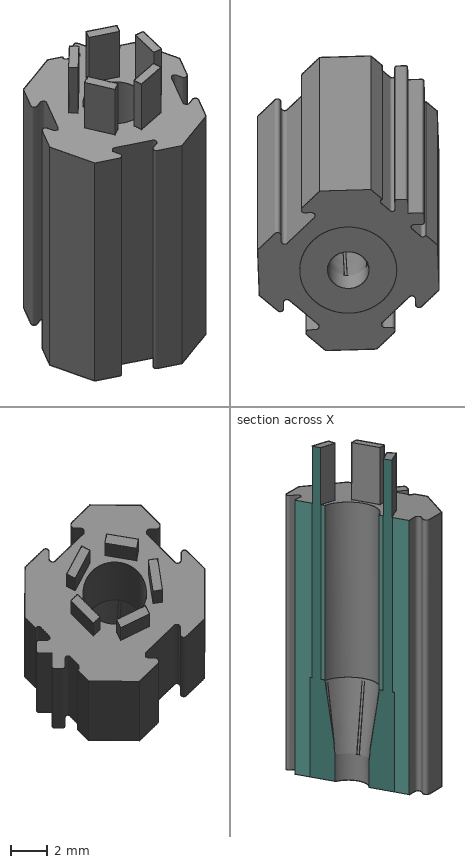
import cadquery as cq
import math

total_height = 19.3
housing_height = 15.98
half_width = 4.5
flat_half_length = 2.5

groove_depth = 0.9
groove_mouth_half = 0.64
groove_round = 0.2

rail_tip_x = 5.38
recess_depth = 0.23
recess_half_width = 1.65
recess_round = 0.15
fork_apex_x = 4.82
arm_thickness = 0.71
arm_round = 0.14

bore_diameter = 3.5
throat_diameter = 2.28
insert_diameter = 5.35
insert_height = 5.79
funnel_depth = 4.25
rib_width = 0.15
rib_height = 0.29
rib_root = 0.05

fin_count = 5
fin_width = 1.78
fin_inner_diameter = 4.0
fin_inner_distance = fin_inner_diameter / 2
fin_outer_distance = math.sqrt((insert_diameter / 2) ** 2 - (fin_width / 2) ** 2)
fin_angles = [180 + i * 360 / fin_count for i in range(fin_count)]


def make_fin(bottom, top):
    """A flat upright blade on the +X side of the axis, before it is turned into place."""
    return (
        cq.Workplane("XY", origin=(0, 0, bottom))
        .center((fin_inner_distance + fin_outer_distance) / 2, 0)
        .rect(fin_outer_distance - fin_inner_distance, fin_width)
        .extrude(top - bottom)
    )


def make_groove(angle):
    """A rounded dovetail cutter for the +X side, turned about Z."""
    floor_x = half_width - groove_depth
    floor_half = groove_mouth_half + groove_depth
    return (
        cq.Workplane("XY")
        .polyline([
            (half_width, -groove_mouth_half),
            (half_width, groove_mouth_half),
            (floor_x, floor_half),
            (floor_x, -floor_half),
        ])
        .close()
        .extrude(housing_height)
        .edges("|Z and <X")
        .fillet(groove_round)
        .rotate((0, 0, 0), (0, 0, 1), angle)
    )


def near_edges(body, points):
    """Workplane holding the upright edges that pass through the given XY points."""
    edges = [
        edge for edge in body.edges("|Z").vals()
        if any(math.hypot(edge.Center().x - x, edge.Center().y - y) < 0.002 for x, y in points)
    ]
    return body.newObject(edges)


def make_octagon():
    corners = []
    for quarter in range(4):
        angle = math.radians(90 * quarter)
        for side in (-flat_half_length, flat_half_length):
            corners.append((
                half_width * math.cos(angle) - side * math.sin(angle),
                half_width * math.sin(angle) + side * math.cos(angle),
            ))
    return cq.Workplane("XY").polyline(corners).close().extrude(housing_height)


def add_grooves(body):
    lips = []
    for angle in (-90, 0, 90):
        body = body.cut(make_groove(angle))
        turn = math.radians(angle)
        for side in (-groove_mouth_half, groove_mouth_half):
            lips.append((
                half_width * math.cos(turn) - side * math.sin(turn),
                half_width * math.sin(turn) + side * math.cos(turn),
            ))
    return near_edges(body, lips).fillet(groove_round)


def add_rail(body):
    floor_x = half_width - recess_depth
    recess = (
        cq.Workplane("XY")
        .box(recess_depth, 2 * recess_half_width, housing_height, centered=(False, True, False))
        .translate((-half_width, 0, 0))
    )
    flank = fork_apex_x - arm_thickness * math.sqrt(2)
    corner_loss = arm_round * (math.sqrt(2) - 1)
    tip_x = rail_tip_x + corner_loss
    tip_y = tip_x - fork_apex_x
    shoulder_x = (tip_x + tip_y + flank) / 2
    shoulder_y = shoulder_x - flank
    root_y = floor_x - flank
    upper = [(-floor_x, root_y), (-shoulder_x, shoulder_y), (-tip_x, tip_y)]
    lower = [(x, -y) for x, y in reversed(upper)]
    rail = cq.Workplane("XY").polyline(upper + [(-fork_apex_x, 0)] + lower).close().extrude(housing_height)
    body = body.cut(recess).union(rail)
    arm_corners = upper[1:] + lower[:-1]
    body = near_edges(body, arm_corners).fillet(arm_round)
    recess_corners = [
        (-floor_x, y) for y in (-recess_half_width, -root_y, root_y, recess_half_width)
    ]
    return near_edges(body, recess_corners).fillet(recess_round)


def make_housing():
    body = add_rail(add_grooves(make_octagon()))
    body = body.cut(cq.Workplane("XY").circle(bore_diameter / 2).extrude(housing_height))
    body = body.cut(cq.Workplane("XY").circle(insert_diameter / 2).extrude(insert_height))
    for angle in fin_angles:
        slot = make_fin(insert_height, housing_height)
        body = body.cut(slot.rotate((0, 0, 0), (0, 0, 1), angle))
    return body


def make_funnel():
    """The space inside the insert: a straight throat below a cone that opens to the bore."""
    throat_radius = throat_diameter / 2
    return (
        cq.Workplane("XZ")
        .polyline([
            (0, 0),
            (throat_radius, 0),
            (throat_radius, insert_height - funnel_depth),
            (bore_diameter / 2, insert_height),
            (0, insert_height),
        ])
        .close()
        .revolve(360, (0, 0), (0, 1))
    )


def make_rib():
    """A low bar along the funnel cone on the +X side, rising gradually from the bore to the throat."""
    throat_radius = throat_diameter / 2
    funnel_bottom = insert_height - funnel_depth
    return (
        cq.Workplane("XZ")
        .polyline([
            (throat_radius, funnel_bottom),
            (throat_radius, funnel_bottom + rib_height),
            (bore_diameter / 2, insert_height),
            (bore_diameter / 2 + rib_root, insert_height),
            (throat_radius + rib_root, funnel_bottom),
        ])
        .close()
        .extrude(rib_width / 2, both=True)
    )


def make_insert():
    body = cq.Workplane("XY").circle(insert_diameter / 2).extrude(insert_height).cut(make_funnel())
    for angle in fin_angles:
        for piece in (make_fin(insert_height, total_height), make_rib()):
            body = body.union(piece.rotate((0, 0, 0), (0, 0, 1), angle))
    return body


housing = make_housing()
insert = make_insert()
result = cq.Compound.makeCompound([housing.val(), insert.val()])